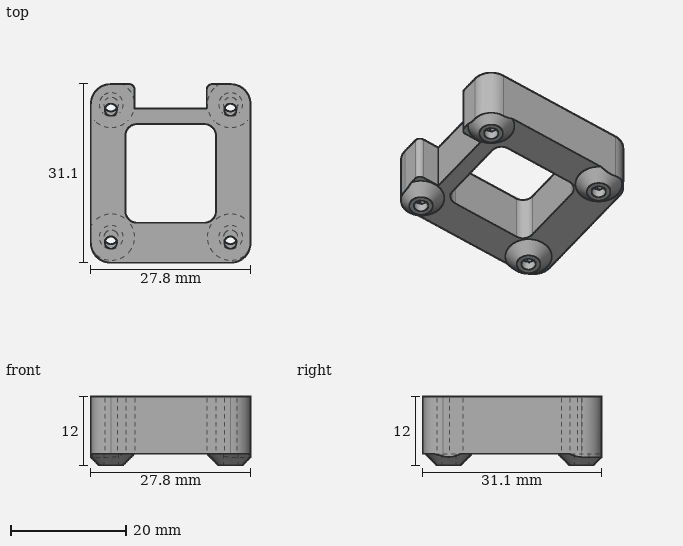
import cadquery as cq

width = 27.8
length = 31.1
total_height = 12.0
foot_height = 2.0
frame_height = total_height - foot_height
corner_radius = 3.5

window_width = 15.7
window_length = 17.1
window_radius = 2.0

notch_width = 12.5
notch_depth = 4.23
notch_edge_radius = 1.0
selection_margin = 0.3

foot_tip_radius = 2.05
foot_base_radius = foot_tip_radius + foot_height
foot_offset = 1.0
frame_hole_diameter = 2.1
foot_hole_diameter = 2.5

hole_x = width / 2 - corner_radius
front_hole_y = -length / 2 + corner_radius
rear_hole_y = length / 2 - corner_radius - foot_offset
hole_points = [(x, y) for x in (-hole_x, hole_x) for y in (front_hole_y, rear_hole_y)]
foot_points = [(x, y + foot_offset) for x, y in hole_points]


def rounded_block(size_x, size_y, radius, bottom, height):
    """Upright block with rounded vertical edges, centred in X and Y."""
    block = cq.Workplane("XY", origin=(0, 0, bottom)).rect(size_x, size_y).extrude(height)
    return block.edges("|Z").fillet(radius)


def make_frame():
    """Rounded block with a central window and a notch in the rear edge."""
    frame = rounded_block(width, length, corner_radius, 0, frame_height)
    window = rounded_block(window_width, window_length, window_radius, 0, frame_height)
    notch = (
        cq.Workplane("XY")
        .center(0, length / 2 - notch_depth / 2)
        .rect(notch_width, notch_depth)
        .extrude(frame_height)
    )
    frame = frame.cut(window).cut(notch)
    notch_edges = cq.selectors.BoxSelector(
        (-notch_width / 2 - selection_margin, length / 2 - selection_margin, 0),
        (notch_width / 2 + selection_margin, length / 2 + selection_margin, frame_height),
    )
    frame = frame.edges("|Z").edges(notch_edges).fillet(notch_edge_radius)
    holes = (
        cq.Workplane("XY").pushPoints(hole_points).circle(frame_hole_diameter / 2).extrude(frame_height)
    )
    return frame.cut(holes)


def make_feet():
    """Four conical feet, trimmed to the frame outline, each with a hole."""
    feet = cq.Workplane("XY")
    for x, y in foot_points:
        cone = cq.Solid.makeCone(
            foot_tip_radius, foot_base_radius, foot_height, cq.Vector(x, y, -foot_height)
        )
        feet = feet.add(cone)
    outline = rounded_block(width, length, corner_radius, -foot_height, foot_height)
    holes = (
        cq.Workplane("XY").pushPoints(foot_points).circle(foot_hole_diameter / 2).extrude(-foot_height)
    )
    return outline.intersect(feet.combine()).cut(holes)


result = make_frame().union(make_feet())